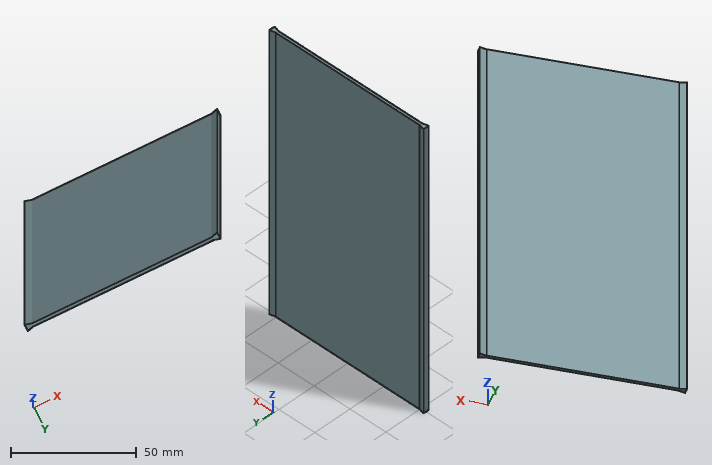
import math

import cadquery as cq

width = 86.0
height = 150.0
edge_thickness = 3.0

rail_width = 3.0
rail_taper_angle = 15.0
web_thickness = 1.5

half_width = width / 2
half_web_width = half_width - rail_width
half_edge = edge_thickness / 2
half_rail_inner = half_edge - rail_width * math.tan(math.radians(rail_taper_angle))

web_front_y = -half_rail_inner
web_back_y = web_front_y + web_thickness


def extrude_upright(profile):
    """Extrude a closed XY outline over the full height, centred on Z = 0."""
    return (
        cq.Workplane("XY")
        .workplane(offset=-height / 2)
        .polyline(profile)
        .close()
        .extrude(height)
    )


def make_web():
    """Flat plate spanning the gap between the two rails."""
    return extrude_upright([
        (-half_web_width, web_front_y),
        (half_web_width, web_front_y),
        (half_web_width, web_back_y),
        (-half_web_width, web_back_y),
    ])


def make_rail(side):
    """Trapezoidal rail, thickest at the outer edge; side is -1 or +1 along X."""
    return extrude_upright([
        (side * half_width, -half_edge),
        (side * half_width, half_edge),
        (side * half_web_width, half_rail_inner),
        (side * half_web_width, -half_rail_inner),
    ])


result = make_web()
for rail_side in (-1, 1):
    result = result.union(make_rail(rail_side), clean=False)